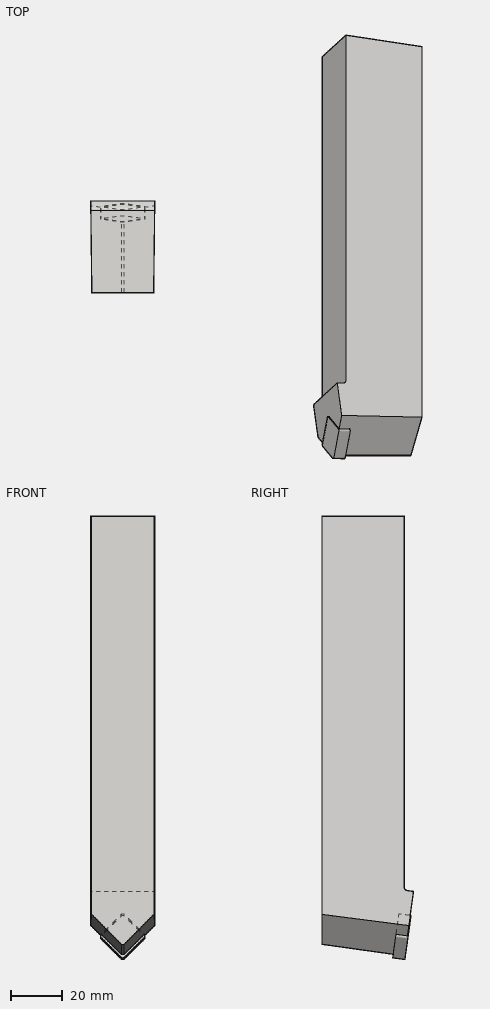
import cadquery as cq
import math

total_length = 171.4
total_depth = 35.5
shank_depth = 31.9
front_width = 24.0
back_width = 24.8

rake_angle = 8.0
ledge_height = 26.4
ledge_fillet = 1.2
nose_width = 1.0

insert_side = 12.7
insert_corner_radius = 0.9
insert_thickness = 4.8
insert_proud = 0.3
insert_overhang = 0.9

rake_sin = math.sin(math.radians(rake_angle))
rake_cos = math.cos(math.radians(rake_angle))
half_diagonal = insert_side / math.sqrt(2)
corner_loss = insert_corner_radius * (math.sqrt(2) - 1)

rake_normal = cq.Vector(0, rake_cos, -rake_sin)
climb = cq.Vector(0, rake_sin, rake_cos)
ledge_corner = cq.Vector(0, total_depth, ledge_height)
point_drop = (ledge_height + corner_loss * rake_cos - insert_proud * rake_sin) / rake_cos
rake_origin = ledge_corner - climb * point_drop
rake_plane = cq.Plane(origin=rake_origin.toTuple(), xDir=(-1, 0, 0), normal=rake_normal.toTuple())


def make_insert():
    """Square plate with rounded corners, its lowest corner at the cutting point."""
    return (
        cq.Workplane(rake_plane)
        .workplane(offset=insert_proud - insert_thickness)
        .center(0, half_diagonal)
        .transformed(rotate=(0, 0, 45))
        .rect(insert_side, insert_side)
        .extrude(insert_thickness)
        .edges(cq.selectors.ParallelDirSelector(rake_normal))
        .fillet(insert_corner_radius)
    )


def side_profile():
    """Shank and leaning head in the YZ plane, spanning the full width."""
    ledge_root_z = ledge_height + (total_depth - shank_depth) * rake_sin / rake_cos
    foot = rake_origin - climb * insert_side
    profile = (
        cq.Workplane("YZ")
        .moveTo(0, total_length)
        .lineTo(shank_depth, total_length)
        .lineTo(shank_depth, ledge_root_z)
        .lineTo(total_depth, ledge_height)
        .lineTo(foot.y, foot.z)
        .lineTo(0, foot.z)
        .close()
        .extrude(back_width, both=True)
    )
    ledge_root = cq.selectors.NearestToPointSelector((0, shank_depth, ledge_root_z))
    return profile.edges("|X").edges(ledge_root).fillet(ledge_fillet)


def tapered_column():
    """Column that widens from the front face to the back of the head."""
    return (
        cq.Workplane("XY")
        .moveTo(-front_width / 2, 0)
        .lineTo(front_width / 2, 0)
        .lineTo(back_width / 2, total_depth)
        .lineTo(-back_width / 2, total_depth)
        .close()
        .extrude(2 * total_length, both=True)
    )


def pointed_end():
    """Prism along the rake normal whose lower end is a blunted right-angled point."""
    sharp_y = insert_overhang * math.sqrt(2)
    half_nose = nose_width / 2
    reach = back_width
    top = 2 * total_length
    return (
        cq.Workplane(rake_plane)
        .moveTo(-half_nose, sharp_y + half_nose)
        .lineTo(half_nose, sharp_y + half_nose)
        .lineTo(reach, sharp_y + reach)
        .lineTo(reach, top)
        .lineTo(-reach, top)
        .lineTo(-reach, sharp_y + reach)
        .close()
        .extrude(2 * total_depth, both=True)
    )


def make_holder(seated_insert):
    """Tapered shank with a pointed end and a pocket that fits the insert."""
    blank = side_profile().intersect(tapered_column()).intersect(pointed_end())
    return blank.cut(seated_insert)


insert = make_insert()
holder = make_holder(insert)

result = cq.Compound.makeCompound([holder.solids().val(), insert.solids().val()])